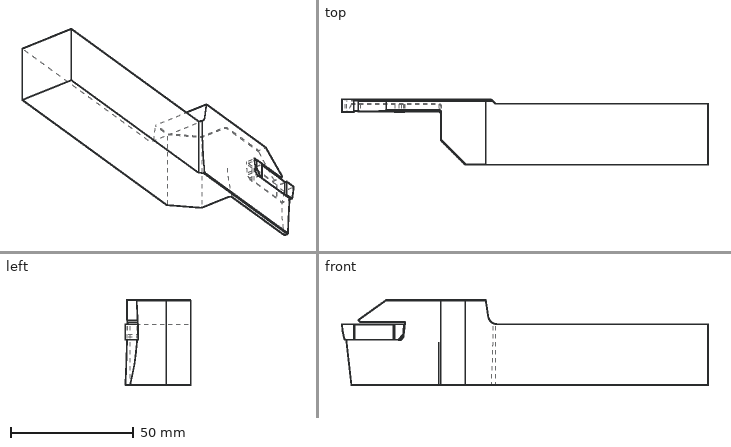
import cadquery as cq
import math

total_length = 150.0
shank_size = 25.0

overall_width = 26.8
overall_height = 35.0
wall_x = 40.5
corner_chamfer = 10.0
shoulder_top_x = 59.0
edge_break = 0.3
shoulder_foot_x = 60.5
shoulder_radius = 3.6
back_step_x = 61.0
back_step_length = overall_width - shank_size

blade_axis_z = shank_size
blade_front_y = 21.8
blade_front_radius = 103.5
blade_back_y = 26.1
root_radius = 0.9
blade_foot_x = 3.9
seat_front_x = 1.8

jaw_nose_x = 6.8
jaw_nose_z = 26.7
jaw_nose_chamfer = 0.8
jaw_top_x = 18.3
slot_z = 25.8
slot_end_x = 25.8

insert_length = 25.5
insert_width = 5.2
insert_top_z = shank_size
insert_bottom_z = 18.6
insert_kink_z = 22.2
insert_kink_inset = 0.3
insert_bevel_z = 19.4
insert_bevel_inset = 0.9
insert_foot_inset = 1.2
front_end_length = 5.0
rear_end_length = 3.9
waist_inset = 0.6
waist_drop = 0.2
waist_slope = 0.5
rear_relief_length = 1.0
rear_relief_height = 2.2

back_sagitta = overall_width - blade_back_y
blade_back_radius = (blade_axis_z**2 + back_sagitta**2) / (2 * back_sagitta)


def prism_along_y(points):
    """Extrude an XZ outline through the full width, from Y = 0 to the back."""
    return cq.Workplane("XZ").polyline(points).close().extrude(-overall_width)


def cylinder_along_x(radius, front_y, length):
    """Cylinder parallel to X whose foremost line lies at front_y."""
    return (
        cq.Workplane("YZ")
        .center(front_y + radius, blade_axis_z)
        .circle(radius)
        .extrude(length)
    )


def make_side_profile():
    """Side shape of shank, head, jaw and blade, with the shoulder rounded."""
    body = prism_along_y([
        (blade_foot_x, 0),
        (total_length, 0),
        (total_length, shank_size),
        (shoulder_foot_x, shank_size),
        (shoulder_top_x, overall_height),
        (jaw_top_x, overall_height),
        (jaw_nose_x, jaw_nose_z),
        (jaw_nose_x + jaw_nose_chamfer, slot_z),
        (slot_end_x, slot_z),
        (slot_end_x, insert_top_z),
        (insert_length - insert_kink_inset, insert_bottom_z + insert_foot_inset),
        (insert_length - insert_foot_inset, insert_bottom_z),
        (seat_front_x, insert_bottom_z),
    ])
    shoulder_foot = cq.selectors.NearestToPointSelector(
        (shoulder_foot_x, overall_width / 2, shank_size)
    )
    return body.edges(shoulder_foot).fillet(shoulder_radius)


def make_plan_outline():
    """Outline from above: shank, chamfered head wall and sloping back step."""
    return (
        cq.Workplane("XY")
        .polyline([
            (wall_x, corner_chamfer),
            (wall_x + corner_chamfer, 0),
            (total_length, 0),
            (total_length, shank_size),
            (back_step_x + back_step_length, shank_size),
            (back_step_x, overall_width),
            (wall_x, overall_width),
        ])
        .close()
        .extrude(overall_height)
    )


def make_root_fillet():
    """Concave strip where the curved blade face meets the head wall."""
    ring_front_y = blade_front_y - root_radius
    strip_x = wall_x - root_radius
    outer = cylinder_along_x(blade_front_radius + root_radius, ring_front_y, root_radius)
    axis_y = blade_front_y + blade_front_radius
    cove = (
        cq.Workplane("XY")
        .center(0, ring_front_y)
        .circle(root_radius)
        .revolve(360, (-1.5, axis_y - ring_front_y), (1.5, axis_y - ring_front_y))
        .translate((0, 0, blade_axis_z))
    )
    return outer.cut(cove).translate((strip_x, 0, 0))


def break_head_edges(body):
    """Small chamfer along the top and bottom edges of the blade face and head."""
    for z in (0, overall_height):
        face_drop = blade_front_radius - math.sqrt(
            blade_front_radius**2 - (z - blade_axis_z) ** 2
        )
        blade_y = blade_front_y + face_drop
        root_offset = root_radius * (1 - math.sqrt(0.5))
        edge_points = [
            ((jaw_top_x + wall_x) / 2, blade_y, z),
            (wall_x - root_offset, blade_y - root_offset, z),
            (wall_x, (blade_y + corner_chamfer) / 2, z),
            (wall_x + corner_chamfer / 2, corner_chamfer / 2, z),
        ]
        if z == overall_height:
            edge_points.append(((wall_x + corner_chamfer + shoulder_top_x) / 2, 0, z))
        edges = cq.Workplane("XY")
        for point in edge_points:
            edges = edges.add(body.edges(cq.selectors.NearestToPointSelector(point)))
        body = body.newObject(edges.vals()).chamfer(edge_break)
    return body


def make_holder():
    blade_space = cylinder_along_x(blade_front_radius, blade_front_y, wall_x)
    plan = make_plan_outline().union(blade_space).union(make_root_fillet())
    hollow_back = cylinder_along_x(blade_back_radius, blade_back_y, total_length)
    return break_head_edges(make_side_profile().intersect(plan).cut(hollow_back))


def make_insert():
    front_y = overall_width - insert_width
    blank = (
        cq.Workplane("XZ", origin=(0, front_y, 0))
        .polyline([
            (0, insert_top_z),
            (insert_kink_inset, insert_kink_z),
            (insert_bevel_inset, insert_bevel_z),
            (insert_foot_inset, insert_bottom_z),
            (insert_length - insert_foot_inset - rear_relief_length, insert_bottom_z),
            (insert_length - insert_kink_inset, insert_bottom_z + rear_relief_height),
            (insert_length, insert_top_z),
        ])
        .close()
        .extrude(-insert_width)
    )
    waist_start = front_end_length
    waist_end = insert_length - rear_end_length
    for side_y, inward in ((front_y, 1), (overall_width, -1)):
        waist_y = side_y + inward * waist_inset
        relief = (
            cq.Workplane("XY")
            .polyline([
                (waist_start, side_y),
                (waist_start + waist_slope, waist_y),
                (waist_end - waist_slope, waist_y),
                (waist_end, side_y),
            ])
            .close()
            .extrude(overall_height)
        )
        blank = blank.cut(relief)
    top_relief = cq.Workplane("XY").box(
        waist_end - waist_start, overall_width, waist_drop, centered=False
    )
    return blank.cut(top_relief.translate((waist_start, 0, insert_top_z - waist_drop)))


holder = make_holder()
insert = make_insert()

result = cq.Compound.makeCompound([holder.solids().val(), insert.solids().val()])